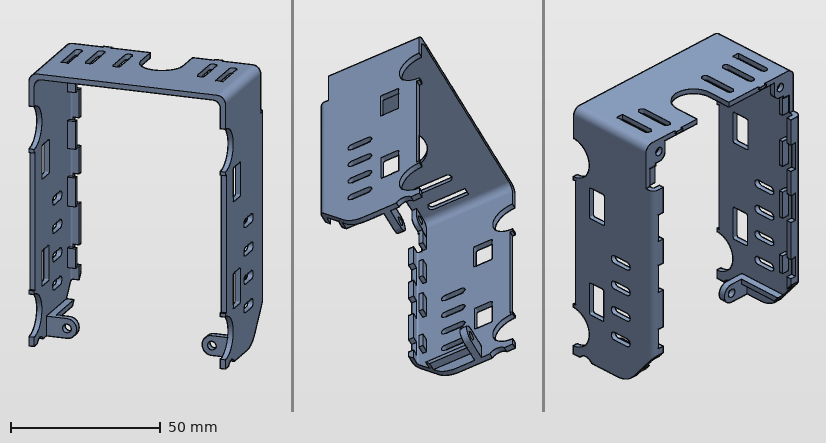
import cadquery as cq

width = 70.0
depth = 37.7
height = 96.2
sheet = 1.9
half_width = width / 2
inner_x = half_width - sheet

bend_radius = 3.0
inner_bend_radius = 2.6
plate_front = 0.1
plate_back = 34.2

step_z = 79.5
slant_top_z = 14.75
slant_foot_y = 25.6
slant_radius = 10.0
recess_depth = 1.0
recess_bottom_z = 19.6
recess_top_z = 68.2
round_notch_radius = 7.5
round_notch_heights = (10.8, 77.0)
foot_notch_y = 5.9
foot_notch_radius = 3.2
foot_notch_height = 1.5

windows = ((7.75, 14.35, 18.8, 31.3), (7.75, 14.65, 56.5, 68.5))
window_radius = 0.5
wall_slot_length = 8.8
wall_slot_width = 3.0
wall_slot_y = 22.35
wall_slot_first_z = 15.3
wall_slot_pitch = 10.0
wall_slot_count = 4

cable_notch_x = 3.2
cable_notch_radius = 7.5
cable_notch_bottom_y = 17.6
plate_slot_width = 2.6
long_slot_xs = (-19.9, -10.1, 19.9)
long_slot_front = 16.2
long_slot_back = 30.2
square_slot_x = 27.5
square_slot_front = 14.4
square_slot_back = 28.8

lip_x = 19.8
lip_width = 3.0
lip_length = 0.8
lip_thickness = 1.0

flange_reach = 4.75
flange_bend_radius = 2.1
flange_inner_radius = 0.6
flange_spans = ((12.4, 17.3), (24.8, 39.3), (49.8, 59.3), (69.6, 79.5))
tab_front = 32.3
tab_thickness = 1.5
tab_spans = ((17.6, 24.5), (39.3, 49.5), (59.6, 69.4), (79.6, 86.4))

screw_diameter = 3.0
top_ear_front = 32.4
top_ear_reach = 9.1
top_ear_bottom_z = 87.4
top_ear_radius = 2.7
neck_bottom_z = tab_spans[-1][1]
top_ear_hole_x = 28.8
top_ear_hole_z = 91.3
foot_ear_front = 11.8
foot_ear_thickness = 2.5
foot_ear_height = 7.0
foot_ear_hole_x = 25.8
shelf_width = 2.7


def box(x0, x1, y0, y1, z0, z1):
    """Box between two limits along each axis."""
    return cq.Workplane("XY").box(x1 - x0, y1 - y0, z1 - z0, centered=False).translate((x0, y0, z0))


def cylinder_along_y(x, z, radius, y0, y1):
    return cq.Workplane("XZ", origin=(x, y0, z)).circle(radius).extrude(y0 - y1)


def both_sides(right_hand):
    """The right-hand (+X) feature together with its mirror image on the left."""
    return right_hand.union(right_hand.mirror("YZ"))


def wall_outline():
    """Side outline without its notches, as a solid across the full width."""
    outline = (
        cq.Workplane("YZ", origin=(-half_width, 0, 0))
        .moveTo(0, 0)
        .lineTo(slant_foot_y, 0)
        .lineTo(depth, slant_top_z)
        .lineTo(depth, step_z)
        .lineTo(plate_back, step_z)
        .lineTo(plate_back, height)
        .lineTo(0, height)
        .close()
        .extrude(width)
    )
    foot_edge = cq.selectors.NearestToPointSelector((0, slant_foot_y, 0))
    return outline.edges(foot_edge).fillet(slant_radius)


def channel():
    """Top plate and both side walls, bent from one sheet.

    The front edge steps back a little from the upper round notches upward.
    """
    outer = box(-half_width, half_width, 0, depth - flange_bend_radius, 0, height)
    outer = outer.edges("|Y and >Z").fillet(bend_radius)
    inner = box(-inner_x, inner_x, 0, depth, 0, height - sheet)
    inner = inner.edges("|Y and >Z").fillet(inner_bend_radius)
    front_trim = box(-half_width, half_width, 0, plate_front, max(round_notch_heights), height)
    return outer.cut(inner).cut(front_trim)


def rear_corner():
    """Rear bend of the right wall, with the flange strips folded inward from it."""
    section = box(half_width - flange_reach, half_width, depth - flange_reach, depth, 0, step_z)
    section = section.edges("|Z and >X and >Y").fillet(flange_bend_radius)
    hollow = box(0, inner_x, 0, depth - sheet, 0, step_z)
    hollow = hollow.edges("|Z and >X and >Y").fillet(flange_inner_radius)
    corner = section.cut(hollow)
    for (_, gap_bottom), (gap_top, _) in zip(flange_spans, flange_spans[1:]):
        corner = corner.cut(box(0, inner_x - flange_inner_radius, 0, depth, gap_bottom, gap_top))
    return corner


def guide_tabs():
    """Thin tabs inside the right wall, in front of the gaps between the flange strips."""
    tab_x = half_width - flange_reach
    tab_back = tab_front + tab_thickness
    tabs = cq.Workplane("XY")
    for z0, z1 in tab_spans:
        tabs = tabs.union(box(tab_x, inner_x, tab_front, tab_back, z0, z1))
    return tabs


def top_ear():
    """Screw ear under the right end of the top plate, with a narrow neck below it."""
    ear_x = half_width - top_ear_reach
    ear = box(ear_x, inner_x, top_ear_front, plate_back, top_ear_bottom_z, height - sheet)
    ear = ear.edges("|Y and <X and <Z").fillet(top_ear_radius)
    neck_x = half_width - flange_reach
    neck = box(neck_x, inner_x, top_ear_front, plate_back, neck_bottom_z, top_ear_bottom_z)
    ear = ear.union(neck)
    return ear.cut(cylinder_along_y(top_ear_hole_x, top_ear_hole_z, screw_diameter / 2, 0, depth))


def foot_ear():
    """Round-ended ear at the foot of the right wall, with the shelf that runs back from it."""
    radius = foot_ear_height / 2
    back = foot_ear_front + foot_ear_thickness
    ear = box(foot_ear_hole_x, inner_x, foot_ear_front, back, 0, foot_ear_height)
    ear = ear.union(cylinder_along_y(foot_ear_hole_x, radius, radius, foot_ear_front, back))
    ear = ear.cut(cylinder_along_y(foot_ear_hole_x, radius, screw_diameter / 2, 0, depth))
    shelf_bottom_z = foot_ear_height - sheet
    shelf = box(inner_x - shelf_width, inner_x, foot_ear_front, depth, shelf_bottom_z, foot_ear_height)
    return ear.union(shelf.intersect(wall_outline()))


def wall_openings():
    """Everything cut through both side walls along X."""

    def across(y, z):
        return cq.Workplane("YZ", origin=(-half_width, y, z))

    cuts = box(-half_width, half_width, 0, recess_depth, recess_bottom_z, recess_top_z)
    for z in round_notch_heights:
        cuts = cuts.union(across(0, z).circle(round_notch_radius).extrude(width))
    foot_notch_z = foot_notch_height - foot_notch_radius
    cuts = cuts.union(across(foot_notch_y, foot_notch_z).circle(foot_notch_radius).extrude(width))
    for y0, y1, z0, z1 in windows:
        window = box(-half_width, half_width, y0, y1, z0, z1)
        cuts = cuts.union(window.edges("|X").fillet(window_radius))
    for index in range(wall_slot_count):
        z = wall_slot_first_z + index * wall_slot_pitch
        slot = across(wall_slot_y, z).slot2D(wall_slot_length, wall_slot_width).extrude(width)
        cuts = cuts.union(slot)
    return cuts


def plate_slot(x, front, back):
    """Round-ended slot along Y through the top plate."""
    middle = (front + back) / 2
    plane = cq.Workplane("XY", origin=(x, middle, height - sheet))
    return plane.slot2D(back - front, plate_slot_width, 90).extrude(sheet)


def plate_openings():
    """Slots and the rear cable notch through the top plate."""
    plate_bottom = height - sheet
    notch_y = cable_notch_bottom_y + cable_notch_radius
    cuts = (
        cq.Workplane("XY", origin=(cable_notch_x, notch_y, plate_bottom))
        .circle(cable_notch_radius)
        .extrude(sheet)
    )
    notch_left = cable_notch_x - cable_notch_radius
    notch_right = cable_notch_x + cable_notch_radius
    cuts = cuts.union(box(notch_left, notch_right, notch_y, depth, plate_bottom, height))
    for x in long_slot_xs:
        cuts = cuts.union(plate_slot(x, long_slot_front, long_slot_back))
    half_slot = plate_slot_width / 2
    round_start = square_slot_back - half_slot
    for x in (-square_slot_x, square_slot_x):
        cuts = cuts.union(plate_slot(x, square_slot_front, square_slot_back))
        left = x - half_slot
        right = x + half_slot
        cuts = cuts.union(box(left, right, square_slot_front, round_start, plate_bottom, height))
    return cuts


def rear_lip():
    """Thin lip standing out behind the right half of the top plate."""
    return box(
        lip_x - lip_width / 2,
        lip_x + lip_width / 2,
        plate_back - lip_length,
        plate_back + lip_length,
        height - lip_thickness,
        height,
    )


result = channel().union(both_sides(rear_corner())).intersect(wall_outline())
result = result.cut(wall_openings()).cut(plate_openings())
for feature in (guide_tabs, top_ear, foot_ear, rear_lip):
    result = result.union(both_sides(feature()))